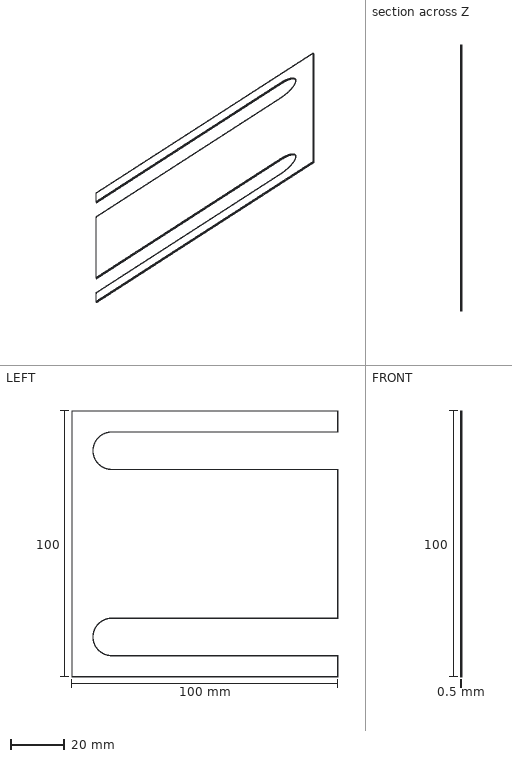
import cadquery as cq

thickness = 0.5
side = 100.0
slot_width = 14.0
edge_margin = 8.0

slot_radius = slot_width / 2
half_side = side / 2
slot_center_z = half_side - edge_margin - slot_radius
slot_end_y = half_side - edge_margin - slot_radius


def make_plate():
    return cq.Workplane("XY").box(thickness, side, side)


def make_slot(center_z):
    """Cutter running from the -Y edge to a full-round end near the +Y edge."""
    top_z = center_z + slot_radius
    bottom_z = center_z - slot_radius
    return (
        cq.Workplane("YZ")
        .moveTo(-half_side, bottom_z)
        .lineTo(slot_end_y, bottom_z)
        .threePointArc((slot_end_y + slot_radius, center_z), (slot_end_y, top_z))
        .lineTo(-half_side, top_z)
        .close()
        .extrude(thickness, both=True)
    )


result = make_plate()
for slot_z in (-slot_center_z, slot_center_z):
    result = result.cut(make_slot(slot_z))